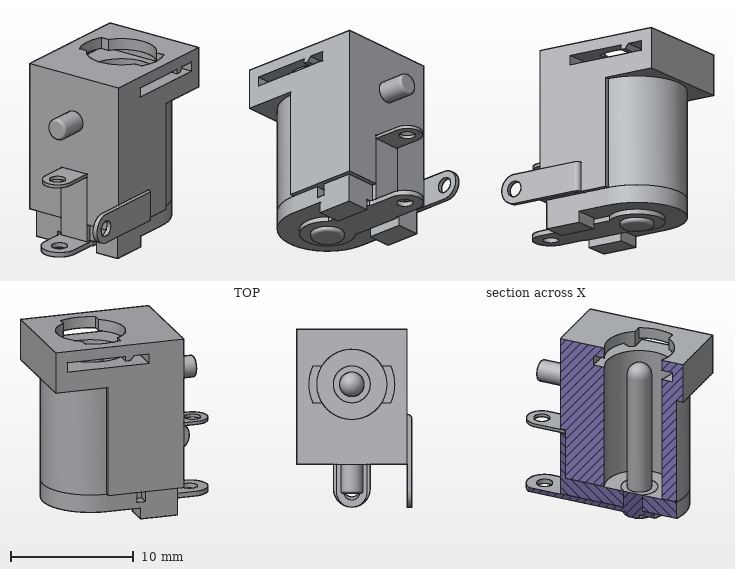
import cadquery as cq


half_width = 4.5
front_y = -6.5
flange_back_y = 4.5
back_radius = 4.1
flange_height = 3.47
total_height = 15.2

foot_height = 0.95
base_top_z = 2.45
base_front_y = -6.1
foot_back_y = -2.92
foot_gap_half = 1.96
strip_half_width = 1.3
strip_top_z = 6.55

bore_radius = 2.85
ear_radius = 3.5
ear_half_width = 1.5
slot_top_depth = 0.95
slot_floor_depth = 1.76
slot_half_length = 3.51
stop_height = 0.4
stop_tip_length = 0.4
stop_root_length = 0.73

notch_near_y = -2.6
notch_width = 0.75
notch_height = 0.99
notch_depth = 1.0

peg_radius = 0.9
peg_z = 11.2
peg_end_y = -8.88
peg_rounding = 0.21

pin_radius = 1.0
pin_tip_depth = 1.46
shank_radius = 1.5
rivet_radius = 1.38
rivet_height = 0.4
rivet_rounding = 0.25

tail_end_y = -10.0
tail_hole_radius = 0.65

lug_thickness = 0.41
lug_disc_radius = 2.28
lug_neck_half_width = 1.64
lug_neck_end_y = -6.34
lug_shoulder_radius = 0.25
lug_tail_half_width = 1.5

tab_half_width = 1.25
tab_bottom_z = 6.58
tab_thickness = 0.27
tab_clearance = tab_bottom_z - strip_top_z

side_thickness = 0.4
side_height = 2.5
side_back_y = -2.43

anchor_depth = 1.0


def box(x_range, y_range, z_range):
    """Box between the given limits along each axis."""
    size = [high - low for low, high in (x_range, y_range, z_range)]
    corner = (x_range[0], y_range[0], z_range[0])
    return cq.Workplane("XY").box(*size, centered=False).translate(corner)


def cylinder(radius, z_range):
    """Cylinder on the jack axis."""
    return cq.Workplane("XY").workplane(offset=z_range[0]).circle(radius).extrude(z_range[1] - z_range[0])


def rounded_back(block_front_y, z_range):
    """Straight-sided block whose back is a half cylinder about the jack axis."""
    straight = box((-back_radius, back_radius), (block_front_y, 0), z_range)
    return straight.union(cylinder(back_radius, z_range))


def solder_tail(half_width, root_y, bottom_z, thickness):
    """Flat round-ended tail toward -Y, with a hole at the center of its round end."""
    center_y = tail_end_y + half_width
    plate = (
        cq.Workplane("XY")
        .workplane(offset=bottom_z)
        .moveTo(-half_width, root_y)
        .lineTo(-half_width, center_y)
        .threePointArc((0, tail_end_y), (half_width, center_y))
        .lineTo(half_width, root_y)
        .close()
        .extrude(thickness)
    )
    hole = cylinder(tail_hole_radius, (bottom_z, bottom_z + thickness)).translate((0, center_y, 0))
    return plate.cut(hole)


lug_bottom_z = foot_height - lug_thickness


def pin_parts():
    """Parts of the pin: dome and post in the bore, shank in the base, rivet head under the lug."""
    dome_center_z = total_height - pin_tip_depth - pin_radius
    post = cylinder(pin_radius, (base_top_z, dome_center_z))
    dome = cq.Workplane("XY").sphere(pin_radius).translate((0, 0, dome_center_z))
    shank = cylinder(shank_radius, (foot_height, base_top_z))
    rivet = cylinder(rivet_radius, (lug_bottom_z - rivet_height, lug_bottom_z))
    rivet = rivet.faces("<Z").edges().fillet(rivet_rounding)
    return [post, dome, shank, rivet]


def make_lug():
    """Disc, neck and tail, with a concave shoulder on each side where the neck meets the tail."""
    z_range = (lug_bottom_z, foot_height)
    neck = box((-lug_neck_half_width, lug_neck_half_width), (lug_neck_end_y, 0), z_range)
    for side in (-1, 1):
        shoulder_center_x = side * (lug_tail_half_width + lug_shoulder_radius)
        shoulder = cylinder(lug_shoulder_radius, z_range).translate((shoulder_center_x, lug_neck_end_y, 0))
        neck = neck.cut(shoulder)
    tail = solder_tail(lug_tail_half_width, lug_neck_end_y, lug_bottom_z, lug_thickness)
    return cylinder(lug_disc_radius, z_range).union(neck).union(tail)


def make_center_contact():
    contact = make_lug()
    for pin_part in pin_parts():
        contact = contact.union(pin_part)
    return contact


def make_front_terminal():
    return solder_tail(tab_half_width, base_front_y + anchor_depth, tab_bottom_z, tab_thickness)


def make_side_terminal():
    outer_x = half_width + side_thickness
    half_height = side_height / 2
    plate = solder_tail(half_height, side_back_y - side_thickness, -outer_x, side_thickness)
    plate = plate.rotate((0, 0, 0), (0, 1, 0), -90)
    plate = plate.translate((0, 0, base_top_z + half_height))
    leg_z = (base_top_z, base_top_z + side_height)
    leg = box((half_width - anchor_depth, half_width), (side_back_y - side_thickness, side_back_y), leg_z)
    bend = cylinder(side_thickness, leg_z).translate((half_width, side_back_y - side_thickness, 0))
    bend = bend.intersect(
        box((half_width, outer_x), (side_back_y - side_thickness, side_back_y), leg_z)
    )
    return plate.union(leg).union(bend)


def make_base():
    """Round-backed plug with feet, strip and side notch, bored for the pin shank."""
    base = rounded_back(base_front_y, (foot_height, base_top_z))
    for low_x, high_x in ((-back_radius, -foot_gap_half), (foot_gap_half, back_radius)):
        base = base.union(box((low_x, high_x), (base_front_y, foot_back_y), (0, foot_height)))
    strip = box((-strip_half_width, strip_half_width), (front_y, base_front_y), (foot_height, strip_top_z))
    notch = box(
        (-back_radius, -back_radius + notch_depth),
        (notch_near_y - notch_width, notch_near_y),
        (base_top_z - notch_height, base_top_z),
    )
    return base.union(strip).cut(notch).cut(cylinder(shank_radius, (foot_height, base_top_z)))


def make_body():
    """Block with a square flange at the top and a half-cylinder back below it."""
    z_range = (base_top_z, total_height)
    block = box((-half_width, half_width), (front_y, 0), z_range)
    flange = box(
        (-half_width, half_width), (0, flange_back_y), (total_height - flange_height, total_height)
    )
    return block.union(flange).union(cylinder(back_radius, z_range))


def make_socket():
    """Bore, bayonet ears and cross slot, with a stop left standing beside each ear."""
    slot_top_z = total_height - slot_top_depth
    slot_floor_z = total_height - slot_floor_depth
    ears = cylinder(ear_radius, (slot_floor_z, total_height)).intersect(
        box((-ear_radius, ear_radius), (-ear_half_width, ear_half_width), (slot_floor_z, total_height))
    )
    slot = box(
        (-half_width, half_width), (-slot_half_length, slot_half_length), (slot_floor_z, slot_top_z)
    )
    stop = (
        cq.Workplane("YZ")
        .moveTo(ear_half_width, slot_top_z)
        .lineTo(ear_half_width, slot_top_z - stop_height)
        .lineTo(ear_half_width + stop_tip_length, slot_top_z - stop_height)
        .lineTo(ear_half_width + stop_root_length, slot_top_z)
        .close()
        .extrude(half_width)
    )
    for angle in (0, 180):
        slot = slot.cut(stop.rotate((0, 0, 0), (0, 0, 1), angle))
    return slot.union(ears).union(cylinder(bore_radius, (base_top_z, total_height)))


def make_peg():
    peg = cq.Workplane("XZ", origin=(0, front_y, peg_z)).circle(peg_radius).extrude(front_y - peg_end_y)
    return peg.faces("<Y").edges().fillet(peg_rounding)


def make_front_slot():
    """Slot for the base strip, reaching up past the front terminal."""
    slot_top_z = tab_bottom_z + tab_thickness + tab_clearance
    return box((-strip_half_width, strip_half_width), (front_y, base_front_y), (base_top_z, slot_top_z))


def make_housing(terminals):
    """Housing with the socket, the front slot, the peg and a recess for each terminal."""
    housing = make_body().cut(make_socket()).cut(make_front_slot()).union(make_peg())
    for terminal in terminals:
        housing = housing.cut(terminal)
    return housing


base = make_base()
center_contact = make_center_contact()
front_terminal = make_front_terminal()
side_terminal = make_side_terminal()
housing = make_housing([front_terminal, side_terminal])

result = cq.Compound.makeCompound(
    [housing.val(), base.val(), center_contact.val(), front_terminal.val(), side_terminal.val()]
)